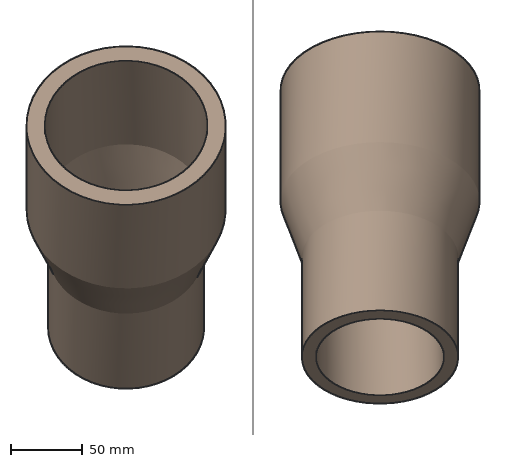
import cadquery as cq

total_height = 233.0
spigot_height = 87.1
neck_top = 136.0

socket_radius = 140.0 / 2
socket_bore_radius = 114.5 / 2
spigot_radius = 110.0 / 2
spigot_bore_radius = 90.0 / 2

half_section = (
    cq.Workplane("XZ")
    .moveTo(spigot_bore_radius, 0)
    .lineTo(spigot_radius, 0)
    .lineTo(spigot_radius, spigot_height)
    .lineTo(socket_radius, neck_top)
    .lineTo(socket_radius, total_height)
    .lineTo(socket_bore_radius, total_height)
    .lineTo(socket_bore_radius, neck_top)
    .lineTo(spigot_bore_radius, spigot_height)
    .close()
)

result = half_section.revolve(360, (0, 0, 0), (0, 1, 0))